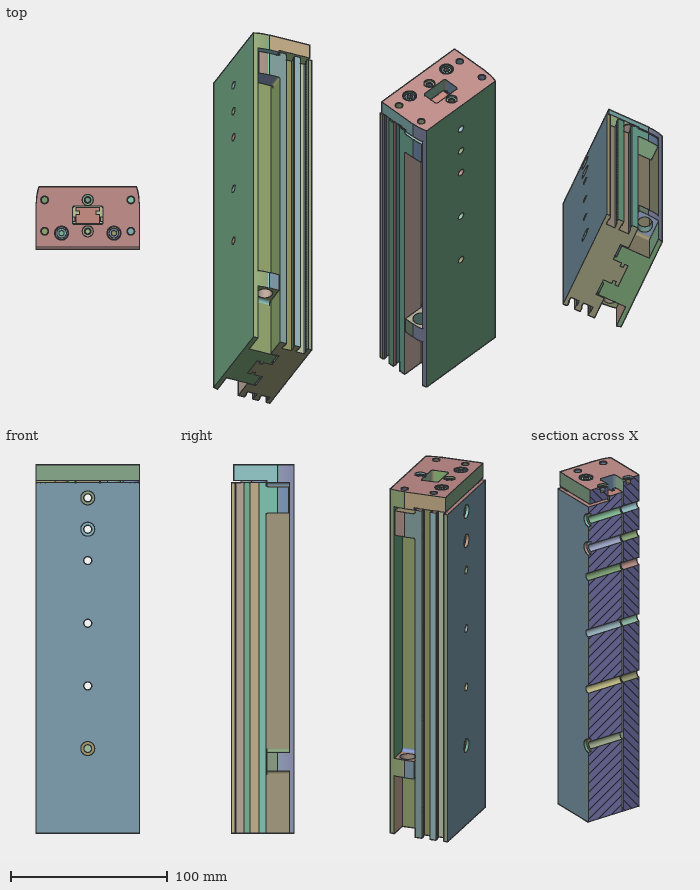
import cadquery as cq
import math

LENGTH = 235.0
HALF_WIDTH = 66.0 / 2
BACK_Y = 40.0 / 2
FRONT_Y = -BACK_Y

FLANK_END_Y = 9.5
ROLL_START_Y = 10.0
ROLL_START_X = HALF_WIDTH - 0.2
ROLL_INSET = 1.6
ROLL_RISE = BACK_Y - ROLL_START_Y
ROLL_RADIUS = (ROLL_RISE**2 + ROLL_INSET**2) / (2 * ROLL_INSET)

END_PLATE_BOTTOM = 225.0
END_PLATE_FRONT_Y = -18.5
BACK_PLATE_INNER_Y = 17.0
STEP_BOTTOM = 223.5
STEP_FRONT_Y = 2.8
WEB_HALF_WIDTH = 17.9
WEB_FRONT_Y = -2.4
CHANNEL_HALF_WIDTH = 9.6
CHANNEL_BACK_Y = 7.5
LIP_HALF_WIDTH = 8.0
LIP_BACK_Y = 0.7
TABLE_BLOCK_BOTTOM = 39.7
TABLE_BLOCK_TOP = 51.7
WEB_FILLET = 2.0
END_SEAL_HEIGHT = 2.4
WINDOW_FRONT_Y = -4.2
WINDOW_CORNER = 1.5

PLATE_HOLE_X = 27.5
PLATE_HOLE_BACK_Y = 11.5
PLATE_HOLE_PITCH_Y = 20.0
PLATE_HOLE_DIAMETER = 4.2
PLATE_HOLE_RIM_DIAMETER = 5.0
PLATE_HOLE_DEPTH = 8.5
CENTER_RECESS_DIAMETER = 7.0
CENTER_RECESS_DEPTH = 1.5
CENTER_HOLE_RIM_DIAMETER = 4.2
CENTER_HOLE_DIAMETER = 3.3
CENTER_HOLE_DEPTH = 4.2

ROD_X = 16.7
ROD_Y = -9.6
ROD_DIAMETER = 8.5
ROD_SCREW_RIM_DIAMETER = 9.0
ROD_SCREW_RECESS_DIAMETER = 8.0
ROD_SCREW_RECESS_DEPTH = 2.4
ROD_SCREW_HEAD_DIAMETER = 6.0
ROD_SCREW_HEAD_HEIGHT = 1.5
ROD_SCREW_HEX = 3.3
ROD_SCREW_HEX_DEPTH = 2.8
BUMPER_X = 27.5
BUMPER_Y = -2.0
BUMPER_DIAMETER = 10.0
STOP_BORE_X = 26.0
STOP_BORE_Y = 9.9
STOP_BORE_DIAMETER = 10.0

HOUSING_TOP = 223.5
HOUSING_BACK_Y = 2.0
GROOVE_BEVEL = 0.7
BACK_GROOVE_Y = (-8.0, -2.4)
FRONT_GROOVE_Y = (-17.0, -12.0)
GROOVE_DEPTH = 6.0
GROOVE_LIP = 2.8
GROOVE_UNDERCUT = 0.5
RECESS_HALF_WIDTH = 18.3
RECESS_FLOOR_Y = -3.5
RAIL_HALF_WIDTH = 7.5
RAIL_BACK_Y = 6.8
RAIL_END = 226.5
BALL_GROOVE_DEPTH = 2.4
BALL_GROOVE_Y = (2.4, 4.5)
HOUSING_BLOCK_BOTTOM = 204.2
HOUSING_BLOCK_TOP = 221.0
HOUSING_BLOCK_BACK_Y = 16.5
HOUSING_BLOCK_INNER_X = 22.0
HOUSING_BLOCK_FILLET = 1.5

MOUNT_HOLE_DIAMETER = 5.0
MOUNT_COUNTERBORE_DIAMETER = 9.0
MOUNT_COUNTERBORE_DEPTH = 2.0
MOUNT_TOP_Z = 213.8
MOUNT_PITCH = 20.0
THROUGH_HOLE_STEPS = (0, 1, 2, 4, 6)
BLIND_HOLE_STEP = 8
COUNTERBORED_STEPS = (0, 1, 8)


def box(x0, x1, y0, y1, z0, z1):
    """Axis-aligned block between two opposite corners."""
    return cq.Workplane("XY").box(x1 - x0, y1 - y0, z1 - z0, centered=False).translate((x0, y0, z0))


def bar(half_width, y0, y1, z0, z1):
    """Block centred on X = 0."""
    return box(-half_width, half_width, y0, y1, z0, z1)


def upright(x, y, diameter, z0, z1):
    """Cylinder along Z."""
    return cq.Workplane("XY", origin=(x, y, z0)).circle(diameter / 2).extrude(z1 - z0)


def rimmed_hole(x, y, diameter, rim_diameter, z0, z1):
    """Hole along Z that opens through a 45 degree rim at its top."""
    rim_depth = (rim_diameter - diameter) / 2
    rim = cq.Solid.makeCone(diameter / 2, rim_diameter / 2, rim_depth, cq.Vector(x, y, z1 - rim_depth))
    return upright(x, y, diameter, z0, z1).union(cq.Workplane(rim))


def crosswise(z, diameter, y0, y1):
    """Cylinder along Y at X = 0."""
    return cq.Workplane("XZ", origin=(0, y0, z)).circle(diameter / 2).extrude(y0 - y1)


def both_sides(left):
    """The given shape and its mirror image across X = 0."""
    return left.union(left.mirror("YZ"))


def rolled_prism(front_y, z0, z1):
    """Full-width prism whose flanks roll inward towards the back."""
    half_angle = math.asin(ROLL_RISE / ROLL_RADIUS) / 2
    mid_x = ROLL_START_X - ROLL_RADIUS * (1 - math.cos(half_angle))
    mid_y = ROLL_START_Y + ROLL_RADIUS * math.sin(half_angle)
    back_x = ROLL_START_X - ROLL_INSET
    return (
        cq.Workplane("XY", origin=(0, 0, z0))
        .moveTo(-HALF_WIDTH, front_y)
        .lineTo(HALF_WIDTH, front_y)
        .lineTo(HALF_WIDTH, FLANK_END_Y)
        .lineTo(ROLL_START_X, ROLL_START_Y)
        .threePointArc((mid_x, mid_y), (back_x, BACK_Y))
        .lineTo(-back_x, BACK_Y)
        .threePointArc((-mid_x, mid_y), (-ROLL_START_X, ROLL_START_Y))
        .lineTo(-HALF_WIDTH, FLANK_END_Y)
        .close()
        .extrude(z1 - z0)
    )


def mount_z(step):
    """Height of a mounting hole, counted in pitch steps down from the top one."""
    return MOUNT_TOP_Z - step * MOUNT_PITCH


def side_pocket(z0, z1, rounded_edges):
    """Left-hand pocket between web and flank; its chosen inner edges are rounded."""
    pocket = box(-HALF_WIDTH - 2.4, -WEB_HALF_WIDTH, WEB_FRONT_Y - 2.4, BACK_PLATE_INNER_Y, z0, z1)
    return pocket.edges(rounded_edges).fillet(WEB_FILLET)


def table_blank():
    """Back plate, web and lower blocks in one rolled prism, topped by the end plate."""
    end_plate = rolled_prism(END_PLATE_FRONT_Y, END_PLATE_BOTTOM, LENGTH)
    slide = rolled_prism(WEB_FRONT_Y, 0, END_PLATE_BOTTOM)
    upper_pocket = side_pocket(TABLE_BLOCK_TOP, STEP_BOTTOM, "|Y and >X")
    lower_pocket = side_pocket(0, TABLE_BLOCK_BOTTOM, "|Y and >X and >Z")
    front_relief = box(-HALF_WIDTH, -WEB_HALF_WIDTH, WEB_FRONT_Y, STEP_FRONT_Y, 0, END_PLATE_BOTTOM)
    for cut in (upper_pocket, lower_pocket, front_relief):
        slide = slide.cut(both_sides(cut))
    return end_plate.union(slide)


def rail_channel():
    """Channel for the rail, narrowed at the front by two lips."""
    wide = bar(CHANNEL_HALF_WIDTH, LIP_BACK_Y, CHANNEL_BACK_Y, 0, END_PLATE_BOTTOM)
    return wide.union(bar(LIP_HALF_WIDTH, WEB_FRONT_Y, LIP_BACK_Y, 0, END_PLATE_BOTTOM))


def end_plate_window():
    window = bar(CHANNEL_HALF_WIDTH, WINDOW_FRONT_Y, CHANNEL_BACK_Y, END_PLATE_BOTTOM, LENGTH)
    return window.edges("|Z").fillet(WINDOW_CORNER)


def rod_screw_recess(x):
    """Recess around the head of a rod screw, with the hexagon socket in the head."""
    recess_floor = LENGTH - ROD_SCREW_RECESS_DEPTH
    head_top = recess_floor + ROD_SCREW_HEAD_HEIGHT
    recess = rimmed_hole(x, ROD_Y, ROD_SCREW_RECESS_DIAMETER, ROD_SCREW_RIM_DIAMETER, recess_floor, LENGTH)
    head = upright(x, ROD_Y, ROD_SCREW_HEAD_DIAMETER, recess_floor, head_top)
    socket_floor = head_top - ROD_SCREW_HEX_DEPTH
    socket = (
        cq.Workplane("XY", origin=(x, ROD_Y, socket_floor))
        .polygon(6, ROD_SCREW_HEX, circumscribed=True)
        .extrude(ROD_SCREW_HEX_DEPTH)
    )
    return recess.cut(head).union(socket)


def end_seal():
    """Plate that closes the channel around the rail at the lower end."""
    seal = bar(CHANNEL_HALF_WIDTH, RECESS_FLOOR_Y, CHANNEL_BACK_Y, 0, END_SEAL_HEIGHT)
    return seal.cut(rail())


def make_table():
    table = table_blank().cut(rail_channel()).cut(end_plate_window()).union(end_seal())
    for y in (PLATE_HOLE_BACK_Y, PLATE_HOLE_BACK_Y - PLATE_HOLE_PITCH_Y):
        for x in (-PLATE_HOLE_X, PLATE_HOLE_X):
            hole_floor = LENGTH - PLATE_HOLE_DEPTH
            hole = rimmed_hole(x, y, PLATE_HOLE_DIAMETER, PLATE_HOLE_RIM_DIAMETER, hole_floor, LENGTH)
            table = table.cut(hole)
        recess_floor = LENGTH - CENTER_RECESS_DEPTH
        hole_floor = LENGTH - CENTER_HOLE_DEPTH
        table = table.cut(upright(0, y, CENTER_RECESS_DIAMETER, recess_floor, LENGTH))
        table = table.cut(
            rimmed_hole(0, y, CENTER_HOLE_DIAMETER, CENTER_HOLE_RIM_DIAMETER, hole_floor, recess_floor)
        )
    for x in (-ROD_X, ROD_X):
        table = table.union(upright(x, ROD_Y, ROD_DIAMETER, HOUSING_TOP, END_PLATE_BOTTOM))
        table = table.cut(rod_screw_recess(x))
    table = table.union(upright(BUMPER_X, BUMPER_Y, BUMPER_DIAMETER, HOUSING_TOP, END_PLATE_BOTTOM))
    for x in (-STOP_BORE_X, STOP_BORE_X):
        bore = upright(x, STOP_BORE_Y, STOP_BORE_DIAMETER, TABLE_BLOCK_BOTTOM, TABLE_BLOCK_TOP)
        table = table.cut(bore)
    for step in THROUGH_HOLE_STEPS:
        table = table.cut(crosswise(mount_z(step), MOUNT_HOLE_DIAMETER, CHANNEL_BACK_Y, BACK_Y))
    return table


def groove_bevel():
    """Left-hand bevel along the front corner of the front groove."""
    corner_y = FRONT_GROOVE_Y[0]
    return (
        cq.Workplane("XY")
        .moveTo(-HALF_WIDTH, corner_y - GROOVE_BEVEL)
        .lineTo(-HALF_WIDTH + GROOVE_BEVEL, corner_y)
        .lineTo(-HALF_WIDTH, corner_y)
        .close()
        .extrude(HOUSING_TOP)
    )


def side_groove(y_range):
    """Left-hand sensor groove, slightly wider behind its lips."""
    y0, y1 = y_range
    bottom_x = -HALF_WIDTH + GROOVE_DEPTH
    mouth = box(-HALF_WIDTH, bottom_x, y0, y1, 0, HOUSING_TOP)
    cavity = box(
        -HALF_WIDTH + GROOVE_LIP, bottom_x, y0 - GROOVE_UNDERCUT, y1 + GROOVE_UNDERCUT, 0, HOUSING_TOP
    )
    return mouth.union(cavity)


def housing_body():
    """Full-length body with side grooves, one of them bevelled, and a recess for the web."""
    body = bar(HALF_WIDTH, FRONT_Y, HOUSING_BACK_Y, 0, HOUSING_TOP)
    for y_range in (BACK_GROOVE_Y, FRONT_GROOVE_Y):
        body = body.cut(both_sides(side_groove(y_range)))
    body = body.cut(both_sides(groove_bevel()))
    return body.cut(bar(RECESS_HALF_WIDTH, RECESS_FLOOR_Y, HOUSING_BACK_Y, 0, HOUSING_TOP))


def rail():
    """Guide rail with a ball groove in each flank."""
    shape = bar(RAIL_HALF_WIDTH, RECESS_FLOOR_Y, RAIL_BACK_Y, 0, RAIL_END)
    groove_bottom_x = -RAIL_HALF_WIDTH + BALL_GROOVE_DEPTH
    return shape.cut(both_sides(box(-RAIL_HALF_WIDTH, groove_bottom_x, *BALL_GROOVE_Y, 0, RAIL_END)))


def housing_block():
    """Left-hand upper block, rolled like the table and rounded into the body."""
    lower_end = HOUSING_BLOCK_BOTTOM - HOUSING_BLOCK_FILLET
    upper_end = HOUSING_BLOCK_TOP + HOUSING_BLOCK_FILLET
    y0 = HOUSING_BACK_Y - HOUSING_BLOCK_FILLET
    outline = (
        cq.Workplane("YZ", origin=(-HALF_WIDTH, 0, 0))
        .moveTo(y0, lower_end)
        .lineTo(HOUSING_BACK_Y, lower_end)
        .radiusArc((HOUSING_BACK_Y + HOUSING_BLOCK_FILLET, HOUSING_BLOCK_BOTTOM), HOUSING_BLOCK_FILLET)
        .lineTo(HOUSING_BLOCK_BACK_Y, HOUSING_BLOCK_BOTTOM)
        .lineTo(HOUSING_BLOCK_BACK_Y, HOUSING_BLOCK_TOP)
        .lineTo(HOUSING_BACK_Y + HOUSING_BLOCK_FILLET, HOUSING_BLOCK_TOP)
        .radiusArc((HOUSING_BACK_Y, upper_end), HOUSING_BLOCK_FILLET)
        .lineTo(y0, upper_end)
        .close()
        .extrude(HALF_WIDTH - HOUSING_BLOCK_INNER_X)
    )
    return outline.intersect(rolled_prism(FRONT_Y, 0, LENGTH))


def make_housing():
    housing = housing_body().union(rail()).union(both_sides(housing_block()))
    for step in (*THROUGH_HOLE_STEPS, BLIND_HOLE_STEP):
        z = mount_z(step)
        housing = housing.cut(crosswise(z, MOUNT_HOLE_DIAMETER, FRONT_Y, RAIL_BACK_Y))
        if step in COUNTERBORED_STEPS:
            counterbore_end = FRONT_Y + MOUNT_COUNTERBORE_DEPTH
            housing = housing.cut(crosswise(z, MOUNT_COUNTERBORE_DIAMETER, FRONT_Y, counterbore_end))
    return housing


housing = make_housing()
table = make_table()
result = cq.Compound.makeCompound([housing.solids().val(), table.solids().val()])